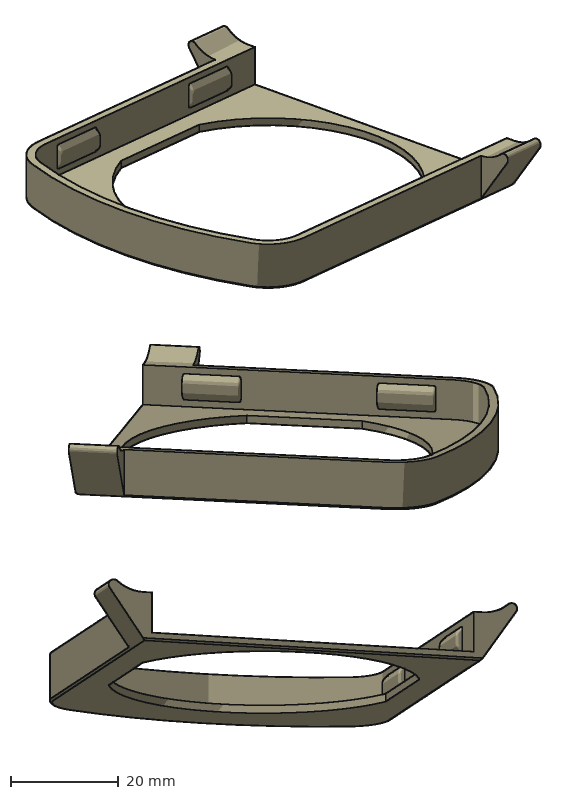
import cadquery as cq
import math

half_width = 33.0
length = 72.0
rim_height = 9.1
wall = 1.75
floor_thickness = 1.5
front_radius = 79.25
corner_radius = 9.0
bottom_chamfer = 0.4

opening_radius = 29.0
opening_half_width = 26.9
opening_y = -31.5

ear_half_span = 39.6
ear_depth = 9.2
tip_radius = 1.0

tab_length = 11.1
tab_height = 5.0
tab_reach = 1.2
tab_embed = 0.4
nose_round = 1.5
tab_end_round = 0.5
tab_z = (floor_thickness + rim_height) / 2
tab_centers_y = (-13.1, -50.0)


def tray_outline(inset, z_bottom, z_top):
    """Solid with the tray's plan shape, moved inwards by inset except at the open back."""
    side = half_width - inset
    radius = front_radius - inset
    tip_y = -(length - inset)
    side_y = tip_y + radius - math.sqrt(radius**2 - side**2)
    return (
        cq.Workplane("XY", origin=(0, 0, z_bottom))
        .moveTo(-side, 0)
        .lineTo(-side, side_y)
        .threePointArc((0, tip_y), (side, side_y))
        .lineTo(side, 0)
        .close()
        .extrude(z_top - z_bottom)
        .edges("|Z")
        .edges("<Y")
        .fillet(corner_radius - inset)
    )


def tray():
    body = tray_outline(0, 0, rim_height).faces("<Z").edges().chamfer(bottom_chamfer)
    return body.cut(tray_outline(wall, floor_thickness, rim_height))


def floor_opening():
    disc = cq.Workplane("XY").center(0, opening_y).circle(opening_radius).extrude(floor_thickness)
    flats = (
        cq.Workplane("XY")
        .center(0, opening_y)
        .rect(2 * opening_half_width, 2 * opening_radius)
        .extrude(floor_thickness)
    )
    return disc.intersect(flats)


def ear():
    """Right-hand ear: round tip, hollow top running level into the rim, straight underside."""
    tip_x = ear_half_span - tip_radius
    tip_z = rim_height + tip_radius
    run = tip_x - half_width

    hollow_radius = run**2 / (4 * tip_radius)
    hollow_z = rim_height + hollow_radius
    hollow_angle = math.asin(run / (hollow_radius + tip_radius))

    def on_hollow(angle):
        return (
            half_width + hollow_radius * math.sin(angle),
            hollow_z - hollow_radius * math.cos(angle),
        )

    def on_tip(angle):
        return (tip_x + tip_radius * math.cos(angle), tip_z + tip_radius * math.sin(angle))

    rise = tip_z - bottom_chamfer
    underside_angle = math.atan2(rise, run) - math.asin(tip_radius / math.hypot(run, rise))
    tip_end_angle = underside_angle - math.pi / 2

    inner_x = half_width - wall / 2
    return (
        cq.Workplane("XZ")
        .moveTo(inner_x, bottom_chamfer)
        .lineTo(inner_x, rim_height)
        .lineTo(half_width, rim_height)
        .threePointArc(on_hollow(hollow_angle / 2), on_hollow(hollow_angle))
        .threePointArc(on_tip(0), on_tip(tip_end_angle))
        .lineTo(half_width, bottom_chamfer)
        .close()
        .extrude(ear_depth)
    )


def tab(center_y):
    """Right-hand tab with slopes above and below, a rounded nose and rounded ends."""
    wall_x = half_width - wall
    nose_x = wall_x - tab_reach
    root_x = wall_x + tab_embed
    root_half = tab_height / 2
    nose_half = root_half - tab_reach
    return (
        cq.Workplane("XZ", origin=(0, center_y + tab_length / 2, tab_z))
        .moveTo(root_x, -root_half)
        .lineTo(wall_x, -root_half)
        .lineTo(nose_x, -nose_half)
        .lineTo(nose_x, nose_half)
        .lineTo(wall_x, root_half)
        .lineTo(root_x, root_half)
        .close()
        .extrude(tab_length)
        .faces("<X")
        .edges("|Y")
        .fillet(nose_round)
        .faces("<X")
        .edges("|Z")
        .fillet(tab_end_round)
    )


result = tray().cut(floor_opening())
for feature in [ear()] + [tab(y) for y in tab_centers_y]:
    result = result.union(feature).union(feature.mirror("YZ"))